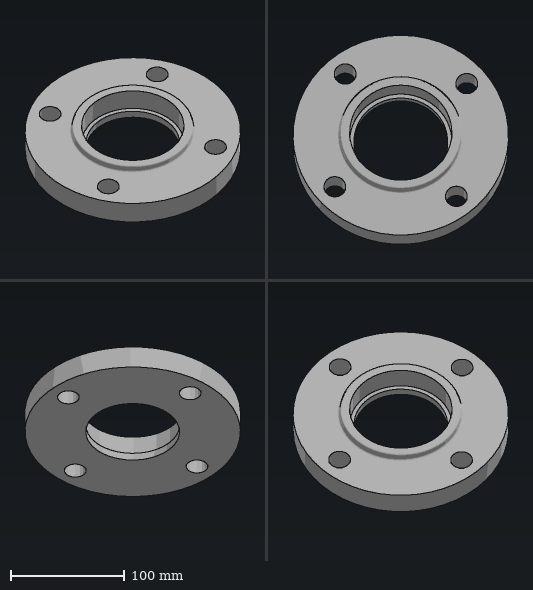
import cadquery as cq
import math

flange_diameter = 190.5
flange_thickness = 22.5

overall_height = 28.4
hub_base_radius = 54.3
hub_taper_angle = 8.0
hub_root_fillet = 1.7
hub_rim_fillet = 1.5

bore_diameter = 82.7
socket_diameter = 90.3
ledge_height = 7.5

bolt_hole_count = 4
bolt_hole_diameter = 19.0
bolt_circle_radius = 76.2

hub_height = overall_height - flange_thickness
hub_top_radius = hub_base_radius - hub_height * math.tan(math.radians(hub_taper_angle))


def make_flange_with_hub():
    """Revolve the plate and its tapered hub as one solid, then round the hub edges."""
    flange_radius = flange_diameter / 2
    body = (
        cq.Workplane("XZ")
        .moveTo(0, 0)
        .lineTo(flange_radius, 0)
        .lineTo(flange_radius, flange_thickness)
        .lineTo(hub_base_radius, flange_thickness)
        .lineTo(hub_top_radius, overall_height)
        .lineTo(0, overall_height)
        .close()
        .revolve(360, (0, 0, 0), (0, 1, 0))
    )
    body = body.faces(">Z").edges().fillet(hub_rim_fillet)
    plate_top = body.faces("|Z").faces(">Z[-2]")
    return plate_top.edges(cq.selectors.RadiusNthSelector(0)).fillet(hub_root_fillet)


def make_stepped_bore():
    """Through bore with the wider socket above the ledge."""
    bore = cq.Workplane("XY").circle(bore_diameter / 2).extrude(overall_height)
    socket = (
        cq.Workplane("XY")
        .workplane(offset=ledge_height)
        .circle(socket_diameter / 2)
        .extrude(overall_height - ledge_height)
    )
    return bore.union(socket)


def make_bolt_holes():
    """Cylinders through the plate, evenly spaced on the bolt circle, starting on +X."""
    return (
        cq.Workplane("XY")
        .polarArray(bolt_circle_radius, 0, 360, bolt_hole_count)
        .circle(bolt_hole_diameter / 2)
        .extrude(flange_thickness)
    )


result = make_flange_with_hub().cut(make_stepped_bore()).cut(make_bolt_holes())